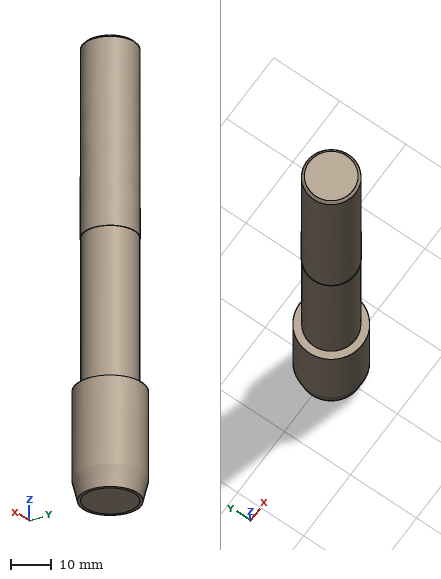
import cadquery as cq

total_length = 125.0
sleeve_diameter = 19.0
sleeve_length = 30.0
sleeve_tip_diameter = 16.2
sleeve_taper_length = 5.6
head_diameter = 14.8
head_chamfer_length = 0.8
head_chamfer_width = 0.8
shank_diameter = 14.6
shank_top = 72.2
taper_base_diameter = 14.9
taper_top = 107.5


def revolve_profile(points):
    """Revolve a closed (radius, height) outline about the Z axis."""
    return cq.Workplane("XZ").polyline(points).close().revolve(360, (0, 0), (0, 1))


def make_rod():
    """Rod with a thinner shank, a slightly tapered middle and a chamfered head."""
    head_radius = head_diameter / 2
    shank_radius = shank_diameter / 2
    return revolve_profile([
        (0, 0),
        (shank_radius, 0),
        (shank_radius, shank_top),
        (taper_base_diameter / 2, shank_top),
        (head_radius, taper_top),
        (head_radius, total_length - head_chamfer_length),
        (head_radius - head_chamfer_width, total_length),
        (0, total_length),
    ])


def make_sleeve():
    """Sleeve around the foot of the rod, tapered at its lower end."""
    bore_radius = shank_diameter / 2
    return revolve_profile([
        (bore_radius, 0),
        (sleeve_tip_diameter / 2, 0),
        (sleeve_diameter / 2, sleeve_taper_length),
        (sleeve_diameter / 2, sleeve_length),
        (bore_radius, sleeve_length),
    ])


rod = make_rod()
sleeve = make_sleeve()
result = cq.Compound.makeCompound([rod.val(), sleeve.val()])